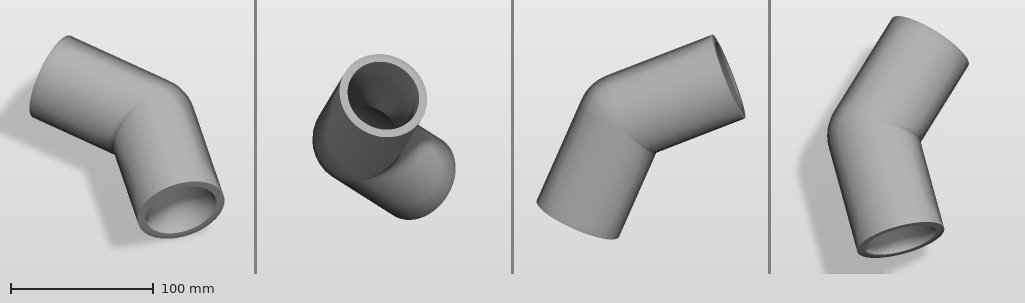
import cadquery as cq
import math

overall_length = 158.8
outer_diameter = 63.0
bore_diameter = 51.5
bend_angle = 45.0

bend = math.radians(bend_angle)
outer_radius = outer_diameter / 2
leg_length = (overall_length - outer_radius * math.sin(bend)) / (1 + math.cos(bend))

inlet_direction = (-1, 0, 0)
outlet_direction = (math.cos(bend), -math.sin(bend), 0)


def leg(diameter, direction):
    """Cylinder running from the joint to the open end of one leg."""
    return cq.Workplane(
        cq.Plane(origin=(0, 0, 0), xDir=(0, 0, 1), normal=direction)
    ).circle(diameter / 2).extrude(leg_length)


def solid_elbow(diameter):
    """Two cylinders joined by a ball that rounds the outside of the bend."""
    ball = cq.Workplane("XY").sphere(diameter / 2)
    return leg(diameter, inlet_direction).union(leg(diameter, outlet_direction)).union(ball)


result = solid_elbow(outer_diameter).cut(solid_elbow(bore_diameter))